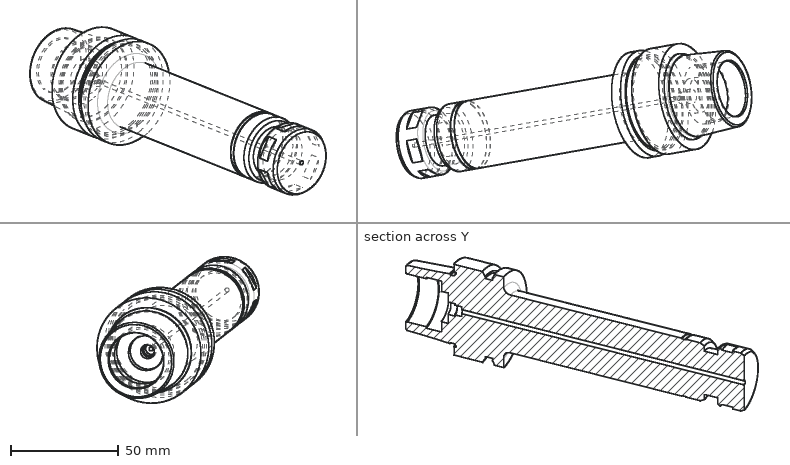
import cadquery as cq

total_length = 175.0

taper_length = 22.8
taper_tip_radius = 18.0
taper_end_radius = 19.2
taper_tip_chamfer_length = 0.7
taper_tip_chamfer_depth = 0.9
neck_radius = 18.7
neck_chamfer = taper_end_radius - neck_radius
neck_end = 24.3

flange_radius = 25.0
flange_start = 24.8
groove_start = 39.7
groove_floor_start = 41.1
groove_floor_end = 44.8
groove_end = 45.8
flange_end = 50.8
groove_radius = 21.5
groove_shoulder_radius = 22.5
face_recess_radius = 20.3
root_round = face_recess_radius - neck_radius

body_radius = 32.0 / 2
body_end = 154.4
body_chamfer_length = 2.1
body_chamfer_depth = 1.2
flange_fillet = 3.3
band_start = 142.6
band_end = 144.7
band_radius = 15.8
spindle_radius = 24.0 / 2

nut_start = 161.0
nut_radius = body_radius
nut_round = 1.8
nut_chamfer_length = 1.8
nut_chamfer_depth = 1.0
slot_count = 6
slot_start = 163.5
slot_end = 168.9
slot_width = 10.8
slot_floor_radius = 15.0
slot_cutter_top = nut_radius + 0.7

mouth_radius = 26.8 / 2
mouth_chamfer_length = 0.9
bore_radius = 26.0 / 2
bore_lip_depth = 10.7
bore_relief_radius = 13.8
bore_depth = 18.4
counterbore_depth = 3.5
counterbore_diameters = [16.5, 6.5, 5.0]
through_hole_diameter = 2.0


def make_outside():
    outline = (
        cq.Workplane("XY")
        .moveTo(0, 0)
        .lineTo(0, taper_tip_radius - taper_tip_chamfer_depth)
        .lineTo(taper_tip_chamfer_length, taper_tip_radius)
        .lineTo(taper_length, taper_end_radius)
        .lineTo(taper_length + neck_chamfer, neck_radius)
        .lineTo(neck_end, neck_radius)
        .radiusArc((neck_end + root_round, face_recess_radius), -root_round)
        .lineTo(flange_start, face_recess_radius)
        .lineTo(flange_start, flange_radius)
        .lineTo(groove_start, flange_radius)
        .lineTo(groove_floor_start, groove_shoulder_radius)
        .lineTo(groove_floor_start, groove_radius)
        .lineTo(groove_floor_end, groove_radius)
        .lineTo(groove_floor_end, groove_shoulder_radius)
        .lineTo(groove_end, flange_radius)
        .lineTo(flange_end, flange_radius)
        .lineTo(flange_end, body_radius + flange_fillet)
        .radiusArc((flange_end + flange_fillet, body_radius), -flange_fillet)
        .lineTo(band_start, body_radius)
        .lineTo(band_start, band_radius)
        .lineTo(band_end, band_radius)
        .lineTo(band_end, body_radius)
        .lineTo(body_end - body_chamfer_length, body_radius)
        .lineTo(body_end, body_radius - body_chamfer_depth)
        .lineTo(body_end, spindle_radius)
        .lineTo(nut_start, spindle_radius)
        .lineTo(nut_start, nut_radius - nut_round)
        .radiusArc((nut_start + nut_round, nut_radius), nut_round)
        .lineTo(total_length - nut_chamfer_length, nut_radius)
        .lineTo(total_length, nut_radius - nut_chamfer_depth)
        .lineTo(total_length, 0)
        .close()
    )
    return outline.revolve(360, (0, 0, 0), (1, 0, 0))


def make_bore():
    outline = (
        cq.Workplane("XY")
        .moveTo(0, 0)
        .lineTo(0, mouth_radius)
        .lineTo(mouth_chamfer_length, bore_radius)
        .lineTo(bore_lip_depth, bore_radius)
        .lineTo(bore_lip_depth, bore_relief_radius)
        .lineTo(bore_depth, bore_relief_radius)
        .lineTo(bore_depth, 0)
        .close()
    )
    bore = outline.revolve(360, (0, 0, 0), (1, 0, 0))
    floor = bore_depth
    for diameter in counterbore_diameters:
        step = cq.Workplane("YZ", origin=(floor, 0, 0)).circle(diameter / 2).extrude(counterbore_depth)
        bore = bore.union(step)
        floor += counterbore_depth
    through_hole = cq.Workplane("YZ").circle(through_hole_diameter / 2).extrude(total_length)
    return bore.union(through_hole)


def cut_nut_slots(part):
    rise = slot_cutter_top - slot_floor_radius
    slot = (
        cq.Workplane("XZ")
        .moveTo(slot_start, slot_floor_radius)
        .lineTo(slot_end, slot_floor_radius)
        .lineTo(slot_end, slot_cutter_top)
        .lineTo(slot_start - rise, slot_cutter_top)
        .close()
        .extrude(slot_width / 2, both=True)
    )
    for index in range(slot_count):
        part = part.cut(slot.rotate((0, 0, 0), (1, 0, 0), index * 360 / slot_count))
    return part


result = cut_nut_slots(make_outside().cut(make_bore()))